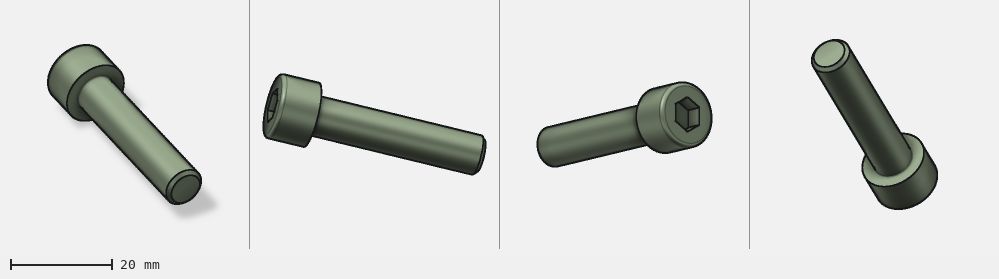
import cadquery as cq
import math

head_diameter = 13.0
head_height = 8.0
head_edge_radius = 0.8
shank_diameter = 8.0
shank_length = 35.0
tip_chamfer = 0.767
neck_radius = 0.05
socket_width = 6.0
socket_depth = 3.6


def make_body():
    """Revolve the half profile of the head and shank about the X axis."""
    head_radius = head_diameter / 2
    shank_radius = shank_diameter / 2
    arc_offset = head_edge_radius * (1 - math.sqrt(0.5))
    neck_offset = neck_radius * (1 - math.sqrt(0.5))
    profile = (
        cq.Workplane("XZ")
        .moveTo(-head_height, 0)
        .lineTo(-head_height, head_radius - head_edge_radius)
        .threePointArc(
            (-head_height + arc_offset, head_radius - arc_offset),
            (-head_height + head_edge_radius, head_radius),
        )
        .lineTo(0, head_radius)
        .lineTo(0, shank_radius + neck_radius)
        .threePointArc(
            (neck_offset, shank_radius + neck_offset),
            (neck_radius, shank_radius),
        )
        .lineTo(shank_length - tip_chamfer, shank_radius)
        .lineTo(shank_length, shank_radius - tip_chamfer)
        .lineTo(shank_length, 0)
        .close()
    )
    return profile.revolve(360, (0, 0, 0), (1, 0, 0))


def make_socket():
    """Hexagonal prism entering the head face, with two corners on the Z axis."""
    across_corners = socket_width / math.cos(math.pi / 6)
    hexagon = (
        cq.Workplane("YZ", origin=(-head_height, 0, 0))
        .transformed(rotate=(0, 0, 90))
        .polygon(6, across_corners)
    )
    return hexagon.extrude(socket_depth)


result = make_body().cut(make_socket())